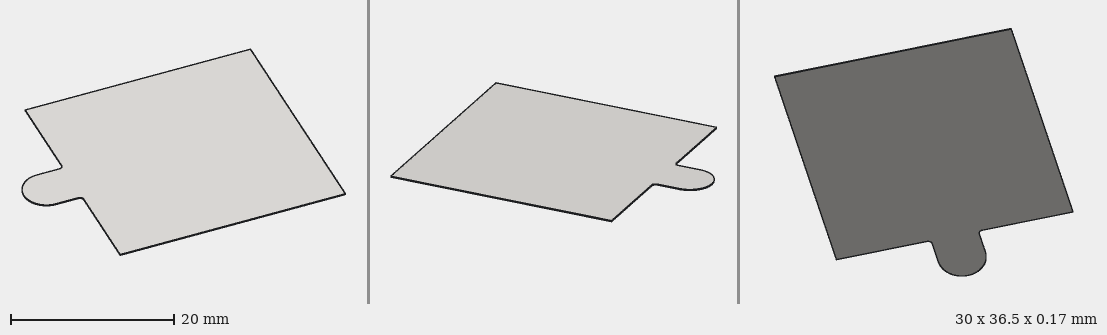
import cadquery as cq

plate_side = 30.0
total_length = 36.5
thickness = 0.17
tab_width = 6.0
root_fillet = 0.5

tab_length = total_length - plate_side
tab_radius = tab_width / 2
tab_straight = tab_length - tab_radius

plate = cq.Workplane("XY").rect(plate_side, plate_side).extrude(thickness)
plate = plate.translate((0, plate_side / 2, 0))

tab = (
    cq.Workplane("XY")
    .moveTo(-tab_radius, 0)
    .lineTo(-tab_radius, -tab_straight)
    .threePointArc((0, -tab_length), (tab_radius, -tab_straight))
    .lineTo(tab_radius, 0)
    .close()
    .extrude(thickness)
)

tab_root_corners = cq.selectors.BoxSelector(
    (-tab_width, -root_fillet / 2, -thickness),
    (tab_width, root_fillet / 2, 2 * thickness),
)
result = plate.union(tab).edges("|Z").edges(tab_root_corners).fillet(root_fillet)